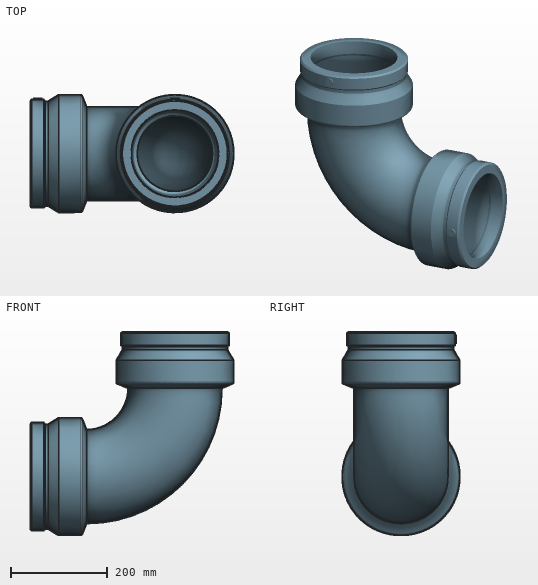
import cadquery as cq

collar_diameter = 244.0
collar_radius = collar_diameter / 2
overall_size = 421.76
mouth_to_corner = overall_size - collar_radius

pipe_radius = 97.5
pipe_bore_radius = 78.0
socket_length = 117.0
bend_radius = mouth_to_corner - socket_length

rim_radius = 224.48 / 2
groove_radius = 217.75 / 2
rim_chamfer = rim_radius - groove_radius
rim_end = 27.7
groove_start = rim_end + rim_chamfer
groove_end = 37.7
collar_start = 59.4
collar_end = 106.8
collar_back_fillet = 5.0
edge_margin = 1.0

mouth_bore_radius = 180.0 / 2
chamber_radius = 91.4
chamber_lead_in = 4.6
chamber_start = rim_end + chamber_lead_in
shoulder_start = 106.0

boss_radius = 8.5
boss_height = 2.6
boss_top = rim_radius + boss_height
boss_depth = (rim_end + rim_chamfer) / 2
boss_root = (mouth_bore_radius + rim_radius) / 2


def revolved(points):
    """Turn a (radius, depth) outline about the Z axis; depth runs down from the mouth."""
    profile = [(radius, mouth_to_corner - depth) for radius, depth in points]
    return cq.Workplane("XZ").polyline(profile).close().revolve(360, (0, 0, 0), (0, 1, 0))


def socket_body():
    """Upright socket, solid inside, with a grooved rim and a thick collar."""
    body = revolved([
        (0, 0),
        (groove_radius, 0),
        (rim_radius, rim_chamfer),
        (rim_radius, rim_end),
        (groove_radius, groove_start),
        (groove_radius, groove_end),
        (collar_radius, collar_start),
        (collar_radius, collar_end),
        (pipe_radius, socket_length),
        (0, socket_length),
    ])
    back_height = mouth_to_corner - collar_end
    reach = collar_radius + edge_margin
    back_edge = cq.selectors.BoxSelector(
        (-reach, -reach, back_height - edge_margin),
        (reach, reach, back_height + edge_margin),
    )
    return body.edges(back_edge).fillet(collar_back_fillet)


def socket_boss():
    """Round boss on the +Y side of the upright rim."""
    return (
        cq.Workplane("XZ", origin=(0, boss_root, mouth_to_corner - boss_depth))
        .circle(boss_radius)
        .extrude(boss_root - boss_top)
    )


def socket_bore():
    """Cavity of the upright socket: straight mouth, wider chamber, then a sloped shoulder to the pipe bore."""
    return revolved([
        (0, 0),
        (mouth_bore_radius, 0),
        (mouth_bore_radius, rim_end),
        (chamber_radius, chamber_start),
        (chamber_radius, shoulder_start),
        (pipe_bore_radius, socket_length),
        (0, socket_length),
    ])


def bend(radius):
    """Quarter turn of a round bar joining the back faces of the two sockets."""
    return (
        cq.Workplane("XY", origin=(0, 0, bend_radius))
        .circle(radius)
        .revolve(90, (-bend_radius, 0, 0), (-bend_radius, 1, 0))
    )


def at_both_ends(upright):
    """Join the upright shape with its copy on the horizontal end, mirrored across the plane X = -Z."""
    horizontal = upright.rotate((0, 0, 0), (1, 0, -1), 180).mirror("XZ")
    return upright.union(horizontal)


outside = at_both_ends(socket_body().union(socket_boss())).union(bend(pipe_radius))
inside = at_both_ends(socket_bore()).union(bend(pipe_bore_radius))
result = outside.cut(inside)